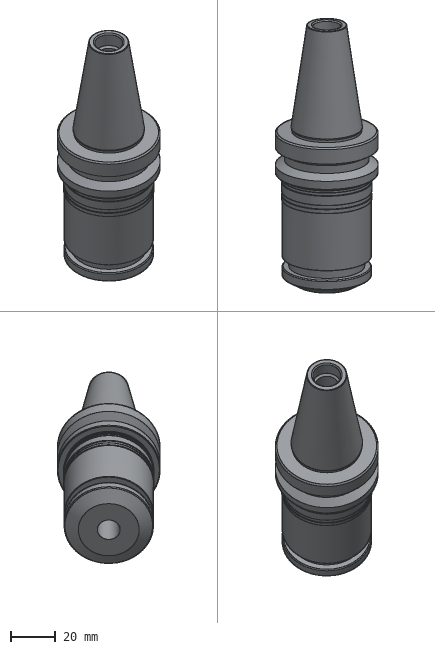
import cadquery as cq

total_height = 122.4

nose_face_radius = 13.6
nose_cone_top = 3.5
nose_cone_radius = 19.6
collar_bottom = 4.0
collar_top = 8.2
collar_edge = 0.5
neck_radius = 34.0 / 2

body_radius = 40.0 / 2
band_radius = 40.5 / 2
body_bottom = 12.7
body_edge = 0.2
band_edge = 0.2
lower_band = (39.9, 42.1)
middle_band = (43.7, 48.5)
upper_band = (49.7, 51.0)

flange_radius = 46.0 / 2
flange_bottom = 52.1
flange_bottom_edge = 0.4
groove_radius = 38.0 / 2
groove_lower_rim = 56.3
groove_lower_floor = 58.6
groove_upper_floor = 62.3
groove_upper_rim = 64.5
flange_top = 72.1
flange_top_edge = 0.7

taper_slope = 7 / 48
taper_top_radius = 8.9
taper_bottom = 73.9
taper_top_edge = 0.2
undercut_radius = 15.7
undercut_top = 73.2
taper_bottom_radius = taper_top_radius + taper_slope * (total_height - taper_bottom)

through_radius = 10.2 / 2
counterbore_radius = 12.5 / 2
counterbore_depth = 6.6
counterbore_cone_height = 0.7
mouth_edge = 0.6


def band_points(bottom, top):
    """Outline of a raised band with chamfered edges."""
    return [
        (band_radius - band_edge, bottom),
        (band_radius, bottom + band_edge),
        (band_radius, top - band_edge),
        (band_radius - band_edge, top),
    ]


def revolve_profile(points):
    """Solid of revolution about Z from (radius, height) points."""
    return cq.Workplane("XZ").polyline(points).close().revolve(360, (0, 0, 0), (0, 1, 0))


nose_points = [
    (0, 0),
    (nose_face_radius, 0),
    (nose_cone_radius, nose_cone_top),
    (body_radius, collar_bottom),
    (body_radius, collar_top - collar_edge),
    (body_radius - collar_edge, collar_top),
    (neck_radius, collar_top),
    (neck_radius, body_bottom),
]

body_points = [
    (body_radius - body_edge, body_bottom),
    (body_radius, body_bottom + body_edge),
]
for bottom, top in (lower_band, middle_band, upper_band):
    body_points += band_points(bottom, top)
body_points.append((body_radius, flange_bottom))

flange_points = [
    (flange_radius - flange_bottom_edge, flange_bottom),
    (flange_radius, flange_bottom + flange_bottom_edge),
    (flange_radius, groove_lower_rim),
    (groove_radius, groove_lower_floor),
    (groove_radius, groove_upper_floor),
    (flange_radius, groove_upper_rim),
    (flange_radius, flange_top - flange_top_edge),
    (flange_radius - flange_top_edge, flange_top),
]

shank_points = [
    (undercut_radius, flange_top),
    (undercut_radius, undercut_top),
    (taper_bottom_radius, taper_bottom),
    (taper_top_radius + taper_slope * taper_top_edge, total_height - taper_top_edge),
    (taper_top_radius - taper_top_edge, total_height),
    (0, total_height),
]

holder = revolve_profile(nose_points + body_points + flange_points + shank_points)

counterbore_floor = total_height - counterbore_depth
bore = revolve_profile([
    (0, 0),
    (through_radius, 0),
    (through_radius, counterbore_floor - counterbore_cone_height),
    (counterbore_radius, counterbore_floor),
    (counterbore_radius, total_height - mouth_edge),
    (counterbore_radius + mouth_edge, total_height),
    (0, total_height),
])

result = holder.cut(bore)